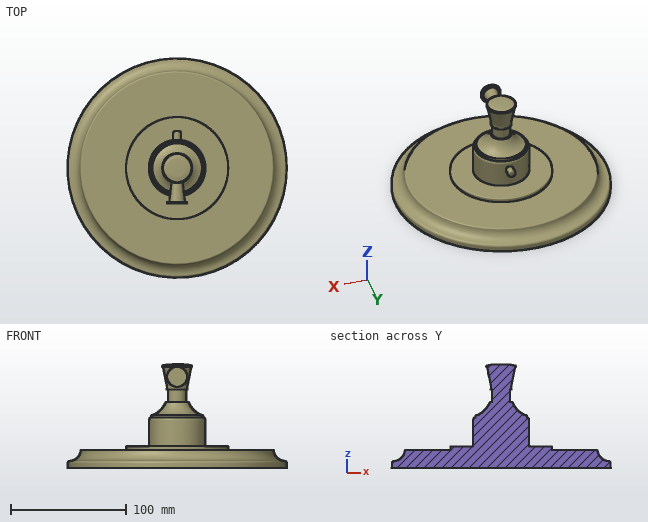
import cadquery as cq
import math

plate_top = 15.8
ring_top = 19.0
shoulder_start = 41.3
shoulder_top = 44.0
collar_top = 44.8
dome_start = 46.0
dome_end = 56.2
dome_top = 57.5
knob_bottom = 68.2
total_height = 90.3

plate_radius = 95.2
rim_height = 4.0
rim_round = 2.3
cove_top_radius = 84.0
cove_top_height = 14.5
cove_bulge = 2.1
plate_edge_round = plate_top - cove_top_height

ring_radius = 44.4
ring_round = 1.0

body_radius = 24.5
shoulder_radius = 23.0
collar_radius = 22.7
dome_foot_radius = 21.5
dome_head_radius = 10.5
dome_bulge = 1.5
dome_flat_radius = 9.1
stem_radius = 8.0

knob_band_radius = 9.1
knob_band_height = 1.1
knob_foot_radius = 9.0
knob_foot_height = 2.9
knob_waist_radius = 11.5
knob_waist_height = 83.2
knob_flare_radius = 12.0
knob_flare_height = 86.1
knob_neck_radius = 12.4
knob_neck_height = 87.6
knob_lip_radius = 13.0
knob_lip_height = 88.2
knob_face_radius = 12.4
knob_face_height = 89.2
crown_radius = 8.4
crown_height = 90.0

lever_height = 79.2
lever_length = 30.9
lever_disc_thickness = 1.5
lever_disc_radius = 8.8
lever_end_radius = 6.9
lever_root_radius = 3.5

pin_height = 35.6
pin_radius = 3.5
pin_reach = 32.0
pin_round = 1.7


def cove_middle(lower, upper, bulge):
    """Point on a concave profile, offset from its chord towards the axis and down."""
    chord_r = upper[0] - lower[0]
    chord_z = upper[1] - lower[1]
    length = math.hypot(chord_r, chord_z)
    middle_r = (lower[0] + upper[0]) / 2 - bulge * chord_z / length
    middle_z = (lower[1] + upper[1]) / 2 + bulge * chord_r / length
    return (middle_r, middle_z)


def round_middle(center, radius):
    """Point halfway along an outward quarter round."""
    offset = radius * math.sqrt(0.5)
    return (center[0] + offset, center[1] + offset)


def revolve_profile(profile):
    """Turn a closed radius-height profile about the Z axis."""
    return profile.close().revolve(360, (0, 0, 0), (0, 1, 0))


def make_plate():
    rim_center = (plate_radius - rim_round, rim_height)
    cove_foot = (rim_center[0], rim_height + rim_round)
    cove_head = (cove_top_radius, cove_top_height)
    edge_center = (cove_top_radius - plate_edge_round, plate_top - plate_edge_round)
    profile = (
        cq.Workplane("XZ")
        .lineTo(plate_radius, 0)
        .lineTo(plate_radius, rim_height)
        .threePointArc(round_middle(rim_center, rim_round), cove_foot)
        .threePointArc(cove_middle(cove_foot, cove_head, cove_bulge), cove_head)
        .threePointArc(round_middle(edge_center, plate_edge_round), (edge_center[0], plate_top))
        .lineTo(0, plate_top)
    )
    return revolve_profile(profile)


def make_ring():
    ring = cq.Workplane("XY").circle(ring_radius).extrude(ring_top)
    return ring.faces(">Z").edges().fillet(ring_round)


def make_body():
    dome_foot = (dome_foot_radius, dome_start)
    dome_head = (dome_head_radius, dome_end)
    profile = (
        cq.Workplane("XZ")
        .lineTo(body_radius, 0)
        .lineTo(body_radius, shoulder_start)
        .tangentArcPoint((shoulder_radius, shoulder_top), relative=False)
        .lineTo(collar_radius, shoulder_top)
        .lineTo(collar_radius, collar_top)
        .tangentArcPoint(dome_foot, relative=False)
        .threePointArc(cove_middle(dome_foot, dome_head, dome_bulge), dome_head)
        .tangentArcPoint((dome_flat_radius, dome_top), relative=False)
        .lineTo(stem_radius, dome_top)
        .lineTo(stem_radius, knob_bottom)
        .lineTo(0, knob_bottom)
    )
    return revolve_profile(profile)


def make_knob():
    crown_rise = total_height - crown_height
    sphere_radius = (crown_radius**2 + crown_rise**2) / (2 * crown_rise)
    middle_radius = crown_radius / 2
    middle_drop = sphere_radius - math.sqrt(sphere_radius**2 - middle_radius**2)
    crown_middle = (middle_radius, total_height - middle_drop)
    profile = (
        cq.Workplane("XZ")
        .moveTo(0, knob_bottom)
        .lineTo(knob_band_radius, knob_bottom)
        .lineTo(knob_foot_radius, knob_bottom + knob_band_height)
        .lineTo(knob_foot_radius, knob_bottom + knob_foot_height)
        .lineTo(knob_waist_radius, knob_waist_height)
        .lineTo(knob_flare_radius, knob_flare_height)
        .lineTo(knob_neck_radius, knob_neck_height)
        .lineTo(knob_lip_radius, knob_lip_height)
        .lineTo(knob_face_radius, knob_face_height)
        .lineTo(crown_radius, crown_height)
        .threePointArc(crown_middle, (0, total_height))
    )
    return revolve_profile(profile)


def make_lever():
    disc_start = lever_length - lever_disc_thickness
    cone = (
        cq.Workplane("XZ", origin=(0, 0, lever_height))
        .circle(lever_root_radius)
        .workplane(offset=disc_start)
        .circle(lever_end_radius)
        .loft()
    )
    disc = (
        cq.Workplane("XZ", origin=(0, -disc_start, lever_height))
        .circle(lever_disc_radius)
        .extrude(lever_disc_thickness)
    )
    return cone.union(disc)


def make_pin():
    pin = (
        cq.Workplane("XZ", origin=(0, 0, pin_height))
        .circle(pin_radius)
        .extrude(-pin_reach)
    )
    return pin.faces(">Y").edges().fillet(pin_round)


result = make_plate()
for piece in (make_ring(), make_body(), make_knob(), make_lever(), make_pin()):
    result = result.union(piece)